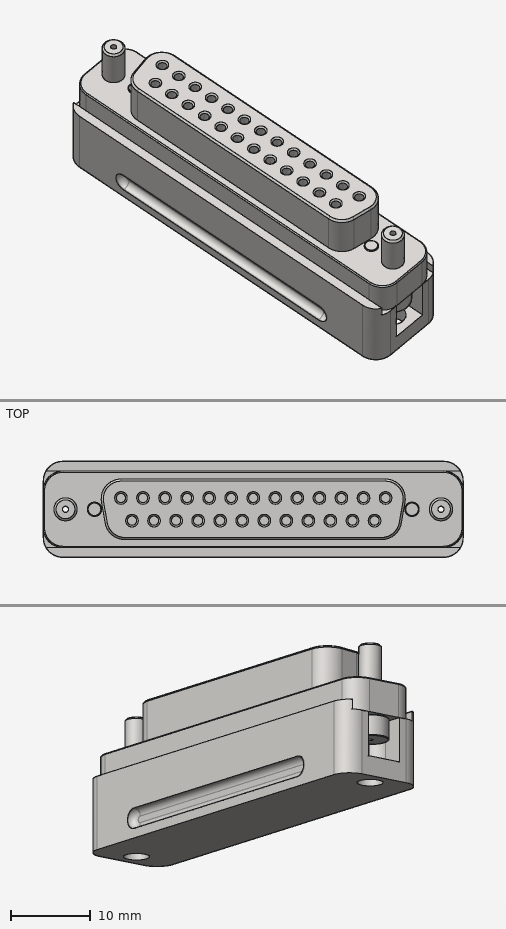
import cadquery as cq
import math

LENGTH = 52.7
HOUSING_WIDTH = 12.05
HOUSING_TOP = 9.55
CORNER_RADIUS = 2.5

FLANGE_WIDTH = 9.6
FLANGE_BOTTOM = 8.3
FLANGE_TOP = 12.7
FLANGE_EDGE_CHAMFER = 0.15

BLOCK_TOP = 18.4
BLOCK_WIDTH = 7.6
BLOCK_WIDE_SIDE = 39.1
BLOCK_SIDE_ANGLE = 10
BLOCK_CORNER_RADIUS = 2.5
BLOCK_EDGE_CHAMFER = 0.25

CONTACTS_WIDE_ROW = 13
CONTACT_WIDE_ROW_LENGTH = 33.2
CONTACT_PITCH = CONTACT_WIDE_ROW_LENGTH / (CONTACTS_WIDE_ROW - 1)
CONTACT_ROW_SPACING = 2.85
CONTACT_DIAMETER = 1.15
CONTACT_CHAMFER = 0.2
CONTACT_DEPTH = 3.15
COUNTERSINK_ANGLE = 90

SCREW_X = 23.55
SCREW_TOP = 17.8
SCREW_DIAMETER = 2.9
SCREW_TIP_CHAMFER = 0.25
SCREW_BORE = 0.75
HEAD_DIAMETER = 4.75
HEAD_BOTTOM = 5.55
HEAD_CHAMFER = 0.1

POCKET_WIDTH = 4.95
POCKET_FLOOR = 2.55
ACCESS_DIAMETER = 3.25
RIB_DIAMETER = 2.4

RIVET_X = 19.9
RIVET_DIAMETER = 1.8
RIVET_HEIGHT = 0.13
RIVET_CHAMFER = 0.1

GROOVE_LENGTH = 35.5
GROOVE_HEIGHT = 2.65
GROOVE_CENTER_Z = 2.6
GROOVE_DEPTH = 1.0
GROOVE_FILLET = 0.9


def cylinder(x, y, diameter, bottom, top):
    """Vertical cylinder between two heights."""
    return cq.Workplane("XY", origin=(x, y, bottom)).circle(diameter / 2).extrude(top - bottom)


def rounded_plate(width, bottom, top):
    """Full-length plate with rounded vertical corners."""
    plate = cq.Workplane("XY", origin=(0, 0, bottom)).rect(LENGTH, width).extrude(top - bottom)
    return plate.edges("|Z").fillet(CORNER_RADIUS)


def screw_pocket(side):
    """Pocket from the end face inward, with a vertical rib on its rounded inner end."""
    end_radius = POCKET_WIDTH / 2
    height = FLANGE_BOTTOM - POCKET_FLOOR
    mouth_length = LENGTH / 2 - SCREW_X
    mouth = (
        cq.Workplane("XY", origin=(side * (SCREW_X + mouth_length / 2), 0, POCKET_FLOOR))
        .rect(mouth_length, POCKET_WIDTH)
        .extrude(height)
    )
    round_end = cylinder(side * SCREW_X, 0, POCKET_WIDTH, POCKET_FLOOR, FLANGE_BOTTOM)
    rib_radius = RIB_DIAMETER / 2
    rib_x = SCREW_X - math.sqrt(end_radius**2 - rib_radius**2)
    rib = cylinder(side * rib_x, 0, RIB_DIAMETER, POCKET_FLOOR, FLANGE_BOTTOM)
    access = cylinder(side * SCREW_X, 0, ACCESS_DIAMETER, 0, POCKET_FLOOR)
    return mouth.union(round_end).cut(rib).union(access)


def grip_groove():
    """Round-ended groove cutter reaching into the -Y face, with a rounded bottom."""
    face_y = -HOUSING_WIDTH / 2
    return (
        cq.Workplane("XZ", origin=(0, face_y, GROOVE_CENTER_Z))
        .slot2D(GROOVE_LENGTH, GROOVE_HEIGHT)
        .extrude(-GROOVE_DEPTH)
        .faces(">Y")
        .edges()
        .fillet(GROOVE_FILLET)
    )


def make_housing():
    housing = rounded_plate(HOUSING_WIDTH, 0, HOUSING_TOP)
    channel_depth = HOUSING_TOP - FLANGE_BOTTOM
    channel = (
        cq.Workplane("XY", origin=(0, 0, FLANGE_BOTTOM))
        .rect(LENGTH, FLANGE_WIDTH)
        .extrude(channel_depth)
    )
    housing = housing.cut(channel)
    for side in (-1, 1):
        housing = housing.cut(screw_pocket(side))
    groove = grip_groove()
    return housing.cut(groove).cut(groove.mirror("XZ"))


def make_flange():
    flange = rounded_plate(FLANGE_WIDTH, FLANGE_BOTTOM, FLANGE_TOP)
    return flange.faces(">Z").edges().chamfer(FLANGE_EDGE_CHAMFER)


def make_socket_block():
    taper = BLOCK_WIDTH * math.tan(math.radians(BLOCK_SIDE_ANGLE))
    half_wide = BLOCK_WIDE_SIDE / 2
    half_narrow = half_wide - taper
    half_width = BLOCK_WIDTH / 2
    block = (
        cq.Workplane("XY", origin=(0, 0, FLANGE_TOP))
        .polyline(
            [
                (-half_wide, half_width),
                (half_wide, half_width),
                (half_narrow, -half_width),
                (-half_narrow, -half_width),
            ]
        )
        .close()
        .extrude(BLOCK_TOP - FLANGE_TOP)
    )
    block = block.edges("|Z").fillet(BLOCK_CORNER_RADIUS)
    return block.faces(">Z").edges().chamfer(BLOCK_EDGE_CHAMFER)


def cut_contact_holes(block):
    """Cut both rows of blind holes with chamfered mouths."""
    mouth_diameter = CONTACT_DIAMETER + 2 * CONTACT_CHAMFER
    row_y = CONTACT_ROW_SPACING / 2
    for count, y in ((CONTACTS_WIDE_ROW, row_y), (CONTACTS_WIDE_ROW - 1, -row_y)):
        first_x = -(count - 1) / 2 * CONTACT_PITCH
        centers = [(first_x + i * CONTACT_PITCH, y) for i in range(count)]
        block = (
            block.faces(">Z")
            .workplane(origin=(0, 0, BLOCK_TOP))
            .pushPoints(centers)
            .cskHole(CONTACT_DIAMETER, mouth_diameter, COUNTERSINK_ANGLE, CONTACT_DEPTH)
        )
    return block


def make_screw(side):
    x = side * SCREW_X
    shank = cylinder(x, 0, SCREW_DIAMETER, FLANGE_BOTTOM, SCREW_TOP)
    shank = shank.faces(">Z").chamfer(SCREW_TIP_CHAMFER)
    head = cylinder(x, 0, HEAD_DIAMETER, HEAD_BOTTOM, FLANGE_BOTTOM)
    head = head.faces("|Z").edges().chamfer(HEAD_CHAMFER)
    return shank.union(head)


def make_rivet(side):
    rivet = cylinder(side * RIVET_X, 0, RIVET_DIAMETER, FLANGE_TOP, FLANGE_TOP + RIVET_HEIGHT)
    return rivet.faces(">Z").chamfer(RIVET_CHAMFER)


result = make_housing().union(make_flange()).union(cut_contact_holes(make_socket_block()))
for side in (-1, 1):
    bore = cylinder(side * SCREW_X, 0, SCREW_BORE, HEAD_BOTTOM, SCREW_TOP)
    result = result.union(make_screw(side)).cut(bore).union(make_rivet(side))